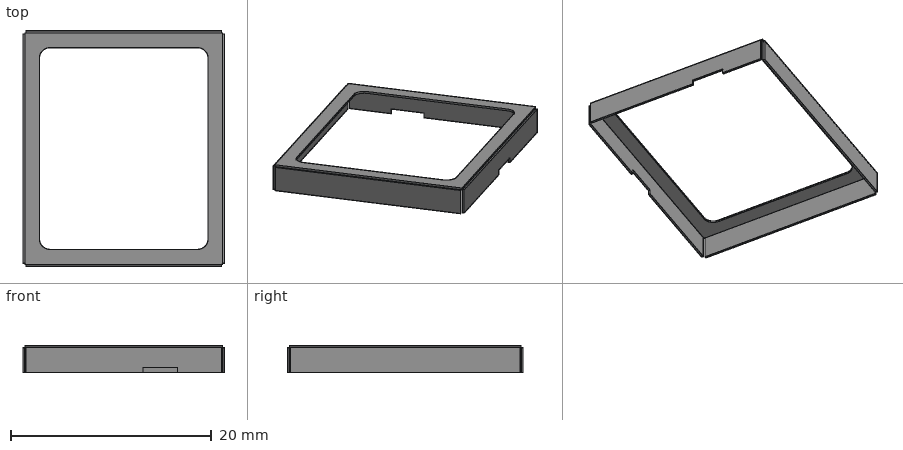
import cadquery as cq

length_x = 20.1
length_y = 23.5
height = 2.7

sheet = 0.2

frame_x = length_x - 2 * sheet
frame_y = length_y - 2 * sheet
window_x = 16.8
window_y = 20.1
window_radius = 1.05

wall_height = height - sheet
end_setback = 0.1
x_wall_run = frame_x - 2 * end_setback
y_wall_run = frame_y - 2 * end_setback

notch_width = 3.45
notch_height = 0.5
front_notch_x = 3.65
left_notch_y = -1.15


def block(size_x, size_y, size_z, x, y, z=0):
    """Box centred on (x, y) with its underside at z."""
    box = cq.Workplane("XY").box(size_x, size_y, size_z, centered=(True, True, False))
    return box.translate((x, y, z))


def make_frame():
    """Flat rectangular frame with a round-cornered window."""
    plate = block(frame_x, frame_y, sheet, 0, 0, wall_height)
    window = block(window_x, window_y, sheet, 0, 0, wall_height)
    return plate.cut(window.edges("|Z").fillet(window_radius))


def make_x_wall(side):
    """Wall running along X, on the -Y (side = -1) or +Y (side = 1) edge."""
    return block(x_wall_run, sheet, wall_height, 0, side * (length_y - sheet) / 2)


def make_y_wall(side):
    """Wall running along Y, on the -X (side = -1) or +X (side = 1) edge."""
    return block(sheet, y_wall_run, wall_height, side * (length_x - sheet) / 2, 0)


notch_cut_depth = 4 * sheet
front_notch = block(notch_width, notch_cut_depth, notch_height, front_notch_x, -length_y / 2)
left_notch = block(notch_cut_depth, notch_width, notch_height, -length_x / 2, left_notch_y)

frame = make_frame()
front_wall = make_x_wall(-1).cut(front_notch)
back_wall = make_x_wall(1)
left_wall = make_y_wall(-1).cut(left_notch)
right_wall = make_y_wall(1)

result = cq.Compound.makeCompound(
    [
        frame.solids().val(),
        front_wall.solids().val(),
        back_wall.solids().val(),
        left_wall.solids().val(),
        right_wall.solids().val(),
    ]
)